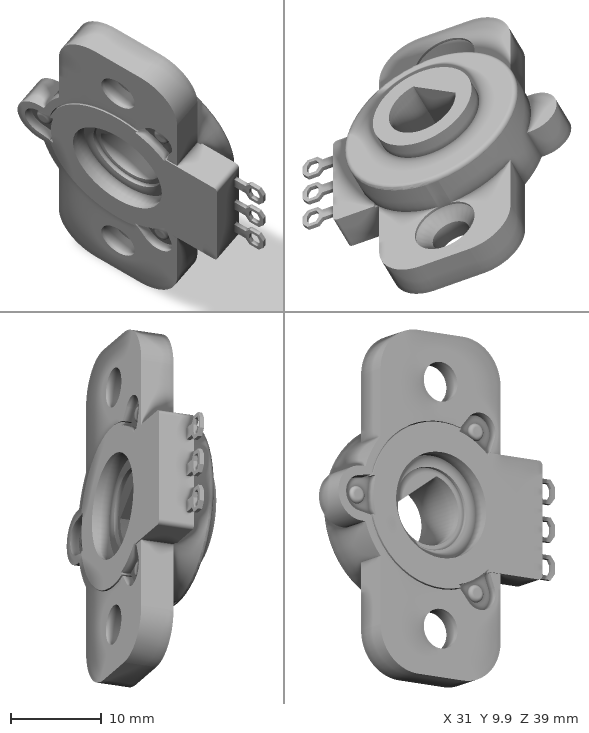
import cadquery as cq
import math


flange_height = 39.0
flange_width = 16.0
flange_corner_radius = 5.0
housing_front_y = 0.1
flange_back_y = 3.98
bowl_radius = 10.5
bowl_back_y = 7.9
bowl_edge_round = 0.5
lug_radius = 3.12
mount_hole_diameter = 4.5
mount_hole_spacing = 28.0
countersink_diameter = 7.25
countersink_start_y = 2.3

cover_disc_radius = 9.4
cover_thickness = 2.05
cover_clearance = 0.1
block_half_height = 6.75
block_root_x = 6.4
block_end_x = 13.5
block_corner_radius = 0.5
block_step_x = 8.45
block_back_y = 4.17
ear_angles = (60, 180, 300)
ear_radius = 1.9
ear_flare_angle = math.radians(10)
ear_front_y = 1.15
ear_step_radius = 9.0

post_circle_radius = 10.55
post_diameter = 2.0
post_head_height = 0.45

rotor_diameter = 12.0
rotor_back_y = 9.9
rotor_recess_diameter = 9.4
rotor_recess_depth = 0.5
bore_radius = 4.05
bore_flat_distance = 2.57
bore_flat_angle = 125

terminal_count = 3
terminal_spacing = 4.3
terminal_front_y = 3.28
terminal_thickness = 0.45
stem_width = 1.35
eyelet_center_x = 16.2
eyelet_half_width = 1.2
eyelet_half_height = 1.4
eyelet_half_side = 0.62
eye_half_width = 0.7
eye_half_height = 0.95
eye_half_side = 0.4


def front_plane(y):
    """Workplane facing the front at depth y, with local axes X and Z."""
    return cq.Workplane("XZ", origin=(0, y, 0))


def extrude_back(outline, depth):
    """Extrude an outline on a front plane toward +Y."""
    return outline.extrude(-depth)


def disc(radius, y_start, y_end):
    return extrude_back(front_plane(y_start).circle(radius), y_end - y_start)


def plate(x_start, x_end, height, y_start, y_end):
    """Rectangular plate centred on Z = 0."""
    outline = front_plane(y_start).center((x_start + x_end) / 2, 0).rect(x_end - x_start, height)
    return extrude_back(outline, y_end - y_start)


def at_ears(body):
    """Copies of a body drawn on +X, turned to each ear position."""
    return [body.rotate((0, 0, 0), (0, 1, 0), angle) for angle in ear_angles]


def ear(clearance, y_start, y_end):
    """Ear on +X: a round tip whose sides flare toward the shaft axis."""
    radius = ear_radius + clearance
    tip_x = post_circle_radius + radius * math.sin(ear_flare_angle)
    tip_z = radius * math.cos(ear_flare_angle)
    root_x = cover_disc_radius * math.cos(math.radians(30))
    root_z = tip_z + (tip_x - root_x) * math.tan(ear_flare_angle)
    outline = (
        front_plane(y_start)
        .moveTo(root_x, -root_z)
        .lineTo(tip_x, -tip_z)
        .threePointArc((post_circle_radius + radius, 0), (tip_x, tip_z))
        .lineTo(root_x, root_z)
        .close()
    )
    return extrude_back(outline, y_end - y_start)


def make_block():
    """Connector block; the part inside the flange is as deep as the flange."""
    outer = plate(block_step_x, block_end_x, 2 * block_half_height, 0, block_back_y)
    outer = outer.edges("|Y and >X").fillet(block_corner_radius)
    return outer.union(plate(block_root_x, block_step_x, 2 * block_half_height, 0, flange_back_y))


def make_post():
    """Staked post on +X with a rounded head."""
    outline = front_plane(ear_front_y - post_head_height).center(post_circle_radius, 0)
    post = extrude_back(
        outline.circle(post_diameter / 2), cover_thickness + post_head_height - ear_front_y
    )
    return post.faces("<Y").edges().fillet(post_head_height)


def make_cover():
    cover = disc(cover_disc_radius, 0, cover_thickness)
    step = ear(0, 0, ear_front_y).cut(disc(ear_step_radius, 0, ear_front_y))
    for step_cut in at_ears(step):
        cover = cover.cut(step_cut)
    cover = cover.union(make_block())
    for cover_ear in at_ears(ear(0, ear_front_y, cover_thickness)):
        cover = cover.union(cover_ear)
    for post in at_ears(make_post()):
        cover = cover.cut(post)
    return cover.cut(disc(rotor_diameter / 2, 0, cover_thickness))


def make_mount_hole():
    """Screw hole on the shaft axis: bore, 45 degree countersink and the relief behind it."""
    hole_radius = mount_hole_diameter / 2
    head_radius = countersink_diameter / 2
    relief_end_y = bowl_back_y - bowl_edge_round
    profile = (
        cq.Workplane("XY")
        .moveTo(0, housing_front_y)
        .lineTo(hole_radius, housing_front_y)
        .lineTo(hole_radius, countersink_start_y)
        .lineTo(head_radius, countersink_start_y + head_radius - hole_radius)
        .lineTo(head_radius, relief_end_y)
        .lineTo(0, relief_end_y)
        .close()
    )
    return profile.revolve(360, (0, 0, 0), (0, 1, 0))


def make_housing():
    flange_depth = flange_back_y - housing_front_y
    flange = plate(-flange_width / 2, flange_width / 2, flange_height, housing_front_y, flange_back_y)
    flange = flange.edges("|Y").fillet(flange_corner_radius)
    bowl = disc(bowl_radius, housing_front_y, bowl_back_y).faces(">Y").edges().fillet(bowl_edge_round)
    lug = extrude_back(
        front_plane(housing_front_y).center(-bowl_radius, 0).circle(lug_radius), flange_depth
    )
    lug_root = plate(-bowl_radius, 0, 2 * lug_radius, housing_front_y, flange_back_y)
    housing = flange.union(bowl).union(lug).union(lug_root)

    housing = housing.cut(disc(cover_disc_radius + cover_clearance, 0, cover_thickness))
    for pocket in at_ears(ear(cover_clearance, 0, cover_thickness)):
        housing = housing.cut(pocket)
    housing = housing.cut(make_block())
    for post in at_ears(make_post()):
        housing = housing.union(post)

    housing = housing.cut(disc(rotor_diameter / 2, 0, bowl_back_y))
    for hole_z in (-mount_hole_spacing / 2, mount_hole_spacing / 2):
        housing = housing.cut(make_mount_hole().translate((0, 0, hole_z)))
    return housing


def make_rotor():
    recess_floor_y = cover_thickness + rotor_recess_depth
    rotor = disc(rotor_diameter / 2, cover_thickness, rotor_back_y)
    rotor = rotor.cut(disc(rotor_recess_diameter / 2, cover_thickness, recess_floor_y))
    beyond_flat = plate(bore_flat_distance, 2 * bore_radius, 2 * bore_radius, recess_floor_y, rotor_back_y)
    beyond_flat = beyond_flat.rotate((0, 0, 0), (0, 1, 0), -bore_flat_angle)
    return rotor.cut(disc(bore_radius, recess_floor_y, rotor_back_y).cut(beyond_flat))


def eyelet_octagon(z, half_width, half_height, half_side):
    """Octagon with top, bottom and side edges all 2 * half_side long."""
    corners = [
        (half_width, half_side),
        (half_side, half_height),
        (-half_side, half_height),
        (-half_width, half_side),
        (-half_width, -half_side),
        (-half_side, -half_height),
        (half_side, -half_height),
        (half_width, -half_side),
    ]
    outline = front_plane(terminal_front_y).center(eyelet_center_x, z).polyline(corners).close()
    return extrude_back(outline, terminal_thickness)


def make_terminal(z):
    stem = plate(
        block_end_x, eyelet_center_x, stem_width, terminal_front_y, terminal_front_y + terminal_thickness
    ).translate((0, 0, z))
    eyelet = eyelet_octagon(z, eyelet_half_width, eyelet_half_height, eyelet_half_side)
    eye = eyelet_octagon(z, eye_half_width, eye_half_height, eye_half_side)
    return stem.union(eyelet).cut(eye)


housing = make_housing()
cover = make_cover()
rotor = make_rotor()
terminals = [
    make_terminal((index - (terminal_count - 1) / 2) * terminal_spacing) for index in range(terminal_count)
]

result = cq.Compound.makeCompound(
    [housing.val(), cover.val(), rotor.val(), *[terminal.val() for terminal in terminals]]
)